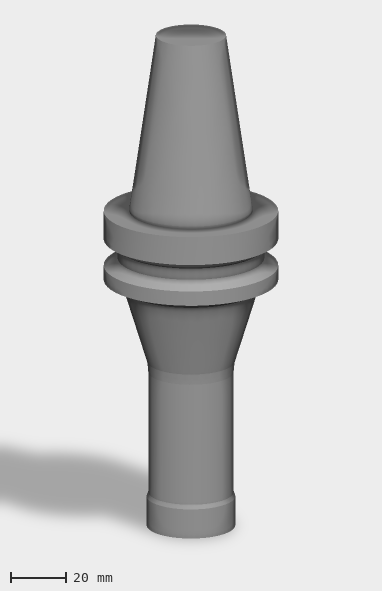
import cadquery as cq
import math


GAUGE_DIAMETER = 44.45
TAPER_LENGTH = 65.4
TAPER_RATIO = 7 / 24
SMALL_END_DIAMETER = GAUGE_DIAMETER - TAPER_LENGTH * TAPER_RATIO

FLANGE_DIAMETER = 63
FLANGE_TOP_Z = -1.0
FLANGE_BOTTOM_Z = -27.0

GROOVE_FLOOR_DIAMETER = 53
GROOVE_CENTRE_Z = -16.6
GROOVE_MOUTH_WIDTH = 10.0
GROOVE_FLANK_ANGLE = 30
GROOVE_RADIAL_DEPTH = (FLANGE_DIAMETER - GROOVE_FLOOR_DIAMETER) / 2
GROOVE_FLANK_HEIGHT = GROOVE_RADIAL_DEPTH * math.tan(math.radians(GROOVE_FLANK_ANGLE))

SHOULDER_DIAMETER = 58
NECK_TOP_DIAMETER = 48.8
NECK_TOP_Z = -30.05
WAIST_DIAMETER = 31.6
WAIST_Z = -58.0

BODY_DIAMETER = 30.8
BODY_TOP_Z = -62.0

NOSE_DIAMETER = 32
NOSE_BOTTOM_Z = -120.0
NOSE_LENGTH = 11.0
NOSE_CONE_HEIGHT = 1.6
NOSE_TOP_Z = NOSE_BOTTOM_Z + NOSE_LENGTH


def taper_rings():
    return [
        (SMALL_END_DIAMETER, TAPER_LENGTH),
        (GAUGE_DIAMETER, 0),
        (GAUGE_DIAMETER, FLANGE_TOP_Z),
    ]


def flange_rings():
    mouth_top = GROOVE_CENTRE_Z + GROOVE_MOUTH_WIDTH / 2
    mouth_bottom = GROOVE_CENTRE_Z - GROOVE_MOUTH_WIDTH / 2
    return [
        (FLANGE_DIAMETER, FLANGE_TOP_Z),
        (FLANGE_DIAMETER, mouth_top),
        (GROOVE_FLOOR_DIAMETER, mouth_top - GROOVE_FLANK_HEIGHT),
        (GROOVE_FLOOR_DIAMETER, mouth_bottom + GROOVE_FLANK_HEIGHT),
        (FLANGE_DIAMETER, mouth_bottom),
        (FLANGE_DIAMETER, FLANGE_BOTTOM_Z),
    ]


def neck_rings():
    return [
        (SHOULDER_DIAMETER, FLANGE_BOTTOM_Z),
        (NECK_TOP_DIAMETER, NECK_TOP_Z),
        (WAIST_DIAMETER, WAIST_Z),
    ]


def body_and_nose_rings():
    return [
        (BODY_DIAMETER, BODY_TOP_Z),
        (BODY_DIAMETER, NOSE_TOP_Z + NOSE_CONE_HEIGHT),
        (NOSE_DIAMETER, NOSE_TOP_Z),
        (NOSE_DIAMETER, NOSE_BOTTOM_Z),
    ]


def turned_solid(rings):
    """Revolve (diameter, height) rings, listed top to bottom, about the Z axis."""
    top_z = rings[0][1]
    bottom_z = rings[-1][1]
    outline = [(0, top_z)]
    outline += [(diameter / 2, z) for diameter, z in rings]
    outline += [(0, bottom_z)]
    return cq.Workplane("YZ").polyline(outline).close().revolve(360, (0, 0), (0, 1))


result = turned_solid(taper_rings() + flange_rings() + neck_rings() + body_and_nose_rings())